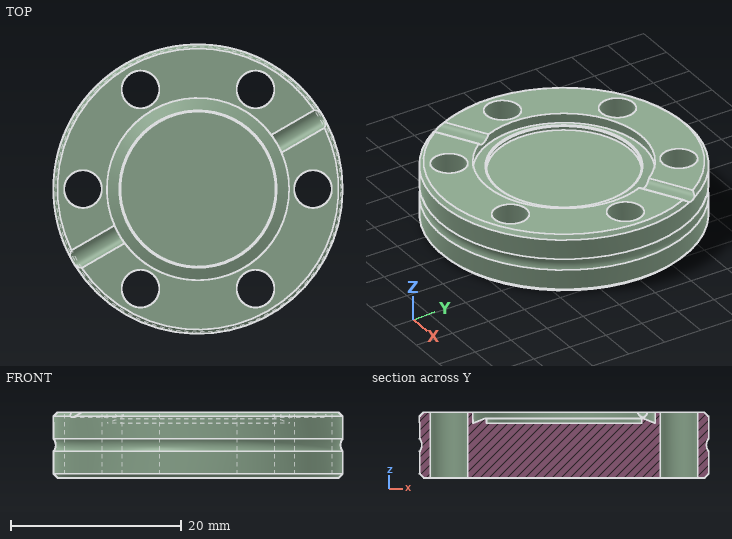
import cadquery as cq


flange_diameter = 34.0
flange_thickness = 7.75
rim_chamfer = 0.5

rim_groove_width = 1.5
rim_groove_depth = 0.25

recess_diameter = 21.4
recess_depth = 1.28
knife_edge_diameter = 18.5
knife_edge_depth = 0.7
knife_inner_diameter = 18.2
knife_inner_bevel = 0.1
floor_depth = 1.3

bolt_count = 6
bolt_hole_diameter = 4.4
bolt_circle_diameter = 27.0

leak_groove_angle = 30.0
leak_groove_width = 2.4
leak_groove_depth = 0.6

flange_radius = flange_diameter / 2


def flange_profile():
    """Half section of the flange, from the axis outwards."""
    chamfered_radius = flange_radius - rim_chamfer
    middle = flange_thickness / 2
    groove_bottom = middle - rim_groove_width / 2
    groove_top = middle + rim_groove_width / 2
    floor_z = flange_thickness - floor_depth
    knife_z = flange_thickness - knife_edge_depth
    recess_z = flange_thickness - recess_depth
    recess_radius = recess_diameter / 2
    knife_inner_radius = knife_inner_diameter / 2
    return (
        cq.Workplane("XZ")
        .moveTo(0, 0)
        .lineTo(chamfered_radius, 0)
        .lineTo(flange_radius, rim_chamfer)
        .lineTo(flange_radius, groove_bottom)
        .threePointArc((flange_radius - rim_groove_depth, middle), (flange_radius, groove_top))
        .lineTo(flange_radius, flange_thickness - rim_chamfer)
        .lineTo(chamfered_radius, flange_thickness)
        .lineTo(recess_radius, flange_thickness)
        .lineTo(recess_radius, recess_z)
        .lineTo(knife_edge_diameter / 2, knife_z)
        .lineTo(knife_inner_radius, knife_z - knife_inner_bevel)
        .lineTo(knife_inner_radius, floor_z)
        .lineTo(0, floor_z)
        .close()
    )


def flange_body():
    return flange_profile().revolve(360, (0, 0, 0), (0, 1, 0))


def bolt_holes():
    return (
        cq.Workplane("XY")
        .polarArray(bolt_circle_diameter / 2, 0, 360, bolt_count)
        .circle(bolt_hole_diameter / 2)
        .extrude(flange_thickness)
    )


def leak_check_cutter():
    """Rod whose lower side sinks into the top face to cut both grooves."""
    half_width = leak_groove_width / 2
    rod_radius = (half_width**2 + leak_groove_depth**2) / (2 * leak_groove_depth)
    rod_axis_z = flange_thickness - leak_groove_depth + rod_radius
    return (
        cq.Workplane("YZ")
        .center(0, rod_axis_z)
        .circle(rod_radius)
        .extrude(flange_radius, both=True)
        .rotate((0, 0, 0), (0, 0, 1), leak_groove_angle)
    )


result = flange_body().cut(bolt_holes()).cut(leak_check_cutter())